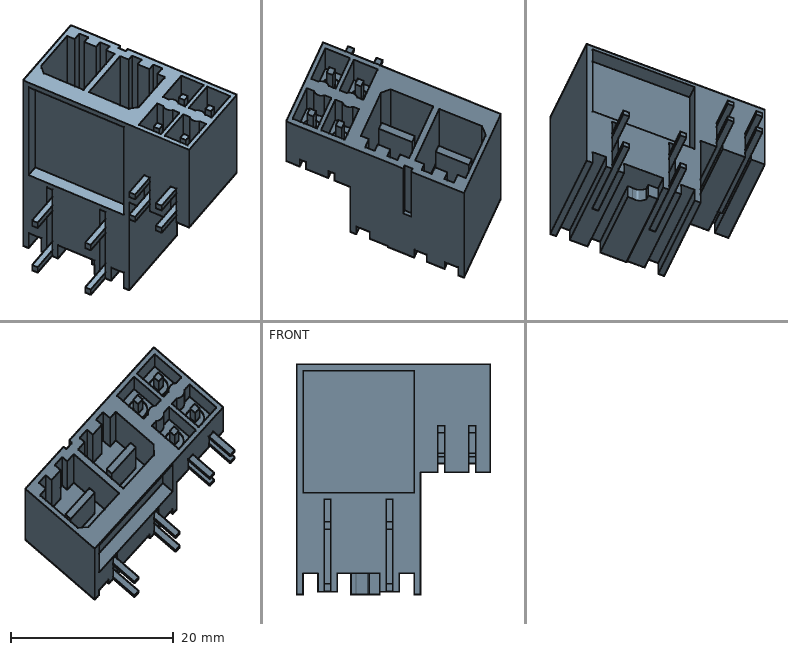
import cadquery as cq
import math


WIDTH = 23.83
DEPTH = 11.4
HEIGHT = 28.3
POWER_WIDTH = 15.24
SIGNAL_BOTTOM = 15.0
WALL = 0.8

POWER_CENTER = POWER_WIDTH / 2
POWER_PITCH = 7.62
POWER_XS = [POWER_CENTER - POWER_PITCH / 2, POWER_CENTER + POWER_PITCH / 2]
SIGNAL_PITCH = 3.81
SIGNAL_OFFSET = 10.16
SIGNAL_XS = [POWER_CENTER + SIGNAL_OFFSET, POWER_CENTER + SIGNAL_OFFSET + SIGNAL_PITCH]
ROW_SPACING = 5.97
ROW_CENTER = 5.68
FRONT_ROW = ROW_CENTER - ROW_SPACING / 2
REAR_ROW = ROW_CENTER + ROW_SPACING / 2

BLADE_WIDTH = 4.45
BLADE_THICKNESS = 0.87
BLADE_Y = 5.77
BLADE_TOP = 24.0
POWER_TAIL_WIDTH = 0.8
POWER_TAIL_HEIGHT = 0.93
LOWER_TAIL_BOTTOM = 0.41
POWER_TAIL_BOTTOMS = [LOWER_TAIL_BOTTOM, LOWER_TAIL_BOTTOM + POWER_PITCH]
TAIL_LENGTH = 3.5
POWER_SLOT_TOP = 11.7

PIN_SIZE = 0.82
PIN_TOP = 27.15
REAR_TAIL_BOTTOM = 16.1
FRONT_TAIL_BOTTOM = REAR_TAIL_BOTTOM + SIGNAL_PITCH
FRONT_SLOT_TOP = FRONT_TAIL_BOTTOM + PIN_SIZE
REAR_SLOT_TOP = 17.35

POWER_FLOOR = 12.5
CAVITY_LEFT = 0.6
CAVITY_RIGHT = 7.22
CAVITY_FRONT = 2.4
CAVITY_CHAMFER = 0.9
OUTER_SHOULDER = DEPTH - 1.9
INNER_SHOULDER = DEPTH - 1.57
KEY_REAR = DEPTH - 0.75
OUTER_KEY = (1.68, 2.95)
INNER_KEY = (4.64, 6.0)
RIB_FRONT = DEPTH - 1.7

SIGNAL_FLOOR = 21.5
SIGNAL_CAVITY_LENGTH = 4.4
SIGNAL_CAVITY_INNER = 0.67
SIGNAL_CAVITY_XS = [(16.25, 19.43), (19.96, 23.24)]
CODING_RADIUS = 0.97
COLLAR_RADIUS = 1.15
COLLAR_HEIGHT = 0.4

LABEL_BOTTOM = 12.5
LABEL_DEPTH = 1.6
FOOT_HEIGHT = 2.6
TAIL_FOOT_WIDTH = 2.4
TAIL_FOOT_BOTTOM = 0.32
PEG_LEFT = 6.68
PEG_FRONT = 1.6
PEG_STEP_X = 7.26
PEG_HOLLOW_RIGHT = 8.93
PEG_BORE_RADIUS = 1.7
PEG_BORE_Y = 1.1
PEG_LEFT_FRONT = PEG_BORE_Y + math.sqrt(PEG_BORE_RADIUS**2 - (POWER_CENTER - PEG_STEP_X) ** 2)
GROOVE_WIDTH = 1.06
GROOVE_DEPTH = 0.45
GROOVE_HEIGHT = 15.0


def block(x, y, z):
    """Box given by its (low, high) limits along each axis."""
    return (
        cq.Workplane("XY")
        .box(x[1] - x[0], y[1] - y[0], z[1] - z[0], centered=False)
        .translate((x[0], y[0], z[0]))
    )


def around(center, width):
    return (center - width / 2, center + width / 2)


def envelope():
    power = block((0, POWER_WIDTH), (0, DEPTH), (0, HEIGHT))
    signal = block((POWER_WIDTH, WIDTH), (0, DEPTH), (SIGNAL_BOTTOM, HEIGHT))
    return power.union(signal)


def left_power_cavity():
    outline = [
        (CAVITY_LEFT + CAVITY_CHAMFER, CAVITY_FRONT),
        (CAVITY_RIGHT, CAVITY_FRONT),
        (CAVITY_RIGHT, INNER_SHOULDER),
        (INNER_KEY[1], INNER_SHOULDER),
        (INNER_KEY[1], KEY_REAR),
        (INNER_KEY[0], KEY_REAR),
        (INNER_KEY[0], RIB_FRONT),
        (OUTER_KEY[1], RIB_FRONT),
        (OUTER_KEY[1], KEY_REAR),
        (OUTER_KEY[0], KEY_REAR),
        (OUTER_KEY[0], OUTER_SHOULDER),
        (CAVITY_LEFT, OUTER_SHOULDER),
        (CAVITY_LEFT, CAVITY_FRONT + CAVITY_CHAMFER),
    ]
    return (
        cq.Workplane("XY")
        .workplane(offset=POWER_FLOOR)
        .polyline(outline)
        .close()
        .extrude(HEIGHT - POWER_FLOOR)
    )


def power_cavities():
    left = left_power_cavity()
    right = left.mirror("YZ", (POWER_CENTER, 0, 0))
    return left.union(right)


def signal_cavity(x_range, pin_x, row_y):
    """Rectangular well with a coding bump on its inner wall and a collar round the pin."""
    side = 1 if row_y > ROW_CENTER else -1
    inner = ROW_CENTER + side * SIGNAL_CAVITY_INNER
    outer = inner + side * SIGNAL_CAVITY_LENGTH
    well = block(x_range, (min(inner, outer), max(inner, outer)), (SIGNAL_FLOOR, HEIGHT))
    bump = (
        cq.Workplane("XY")
        .workplane(offset=SIGNAL_FLOOR)
        .center(pin_x, ROW_CENTER)
        .circle(CODING_RADIUS)
        .extrude(HEIGHT - SIGNAL_FLOOR)
    )
    collar = (
        cq.Workplane("XY")
        .workplane(offset=SIGNAL_FLOOR)
        .center(pin_x, row_y)
        .circle(COLLAR_RADIUS)
        .extrude(COLLAR_HEIGHT)
    )
    return well.cut(bump).cut(collar)


def label_recess():
    return block((WALL, POWER_WIDTH - WALL), (0, LABEL_DEPTH), (LABEL_BOTTOM, HEIGHT - WALL))


def foot_openings():
    """Gaps under the power block that leave side walls, tail feet and a bored peg."""
    foot_z = (0, FOOT_HEIGHT)
    through = (0, DEPTH)
    left_foot = around(POWER_XS[0], TAIL_FOOT_WIDTH)
    right_foot = around(POWER_XS[1], TAIL_FOOT_WIDTH)
    openings = block((WALL, left_foot[0]), through, foot_z)
    openings = openings.union(block((right_foot[1], POWER_WIDTH - WALL), through, foot_z))
    openings = openings.union(block((left_foot[1], PEG_LEFT), through, foot_z))
    openings = openings.union(block((PEG_LEFT, PEG_STEP_X), (0, PEG_LEFT_FRONT), foot_z))
    openings = openings.union(block((PEG_STEP_X, right_foot[0]), (0, PEG_FRONT), foot_z))
    bore = cq.Workplane("XY").center(POWER_CENTER, PEG_BORE_Y).circle(PEG_BORE_RADIUS).extrude(FOOT_HEIGHT)
    hollow = bore.intersect(block((PEG_STEP_X, PEG_HOLLOW_RIGHT), (PEG_BORE_Y, DEPTH), foot_z))
    openings = openings.union(hollow)
    for foot in (left_foot, right_foot):
        openings = openings.union(block(foot, through, (0, TAIL_FOOT_BOTTOM)))
    return openings


def rear_groove():
    x = around(POWER_CENTER, GROOVE_WIDTH)
    return block(x, (DEPTH - GROOVE_DEPTH, DEPTH), (HEIGHT - GROOVE_HEIGHT, HEIGHT))


def power_slot(x):
    return block(around(x, POWER_TAIL_WIDTH), (0, BLADE_Y + BLADE_THICKNESS / 2), (0, POWER_SLOT_TOP))


def signal_slot(x):
    """Front pocket for the front-row pin with a lower passage right through for the rear one."""
    x_range = around(x, PIN_SIZE)
    pocket = block(x_range, (0, FRONT_ROW + PIN_SIZE / 2), (SIGNAL_BOTTOM, FRONT_SLOT_TOP))
    passage = block(x_range, (0, DEPTH), (SIGNAL_BOTTOM, REAR_SLOT_TOP))
    return pocket.union(passage)


def power_contact(x):
    blade_y = around(BLADE_Y, BLADE_THICKNESS)
    tail_x = around(x, POWER_TAIL_WIDTH)
    contact = block(around(x, BLADE_WIDTH), blade_y, (POWER_FLOOR, BLADE_TOP))
    contact = contact.union(block(tail_x, blade_y, (POWER_TAIL_BOTTOMS[0], POWER_FLOOR)))
    for bottom in POWER_TAIL_BOTTOMS:
        tail = block(tail_x, (-TAIL_LENGTH, BLADE_Y), (bottom, bottom + POWER_TAIL_HEIGHT))
        contact = contact.union(tail)
    return contact


def signal_contact(x, row_y, tail_bottom):
    x_range = around(x, PIN_SIZE)
    pin = block(x_range, around(row_y, PIN_SIZE), (tail_bottom, PIN_TOP))
    tail = block(x_range, (-TAIL_LENGTH, row_y), (tail_bottom, tail_bottom + PIN_SIZE))
    return pin.union(tail)


power_contacts = [power_contact(x) for x in POWER_XS]
signal_contacts = []
for x in SIGNAL_XS:
    signal_contacts.append(signal_contact(x, FRONT_ROW, FRONT_TAIL_BOTTOM))
    signal_contacts.append(signal_contact(x, REAR_ROW, REAR_TAIL_BOTTOM))

housing = envelope().cut(power_cavities()).cut(label_recess()).cut(foot_openings()).cut(rear_groove())
for x in POWER_XS:
    housing = housing.cut(power_slot(x))
for x, x_range in zip(SIGNAL_XS, SIGNAL_CAVITY_XS):
    housing = housing.cut(signal_slot(x))
    for row_y in (FRONT_ROW, REAR_ROW):
        housing = housing.cut(signal_cavity(x_range, x, row_y))
for contact in power_contacts + signal_contacts:
    housing = housing.cut(contact)

contact_solids = [contact.val() for contact in power_contacts + signal_contacts]
result = cq.Compound.makeCompound([housing.val(), *contact_solids])